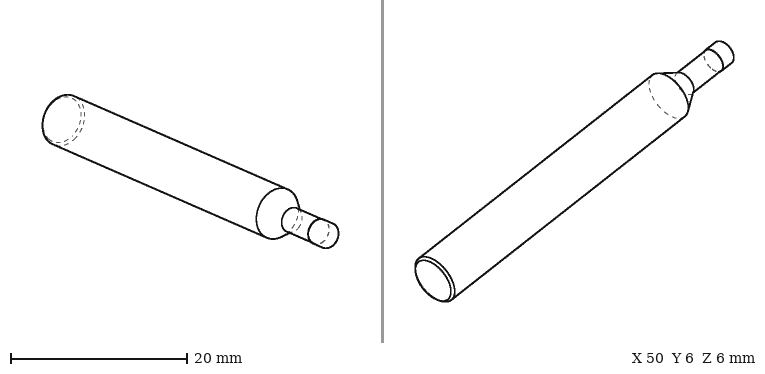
import cadquery as cq
import math

total_length = 50.0
shank_radius = 3.0
shank_chamfer = 0.3

tip_length = 2.0
tip_radius = 1.5
tip_corner_radius = 0.3

neck_length = 5.0
neck_radius = 1.45
cone_half_angle = 30.0

x_back = -total_length / 2
x_front = total_length / 2
x_tip = x_front - tip_length
x_neck = x_tip - neck_length
cone_length = (shank_radius - neck_radius) / math.tan(math.radians(cone_half_angle))
x_cone = x_neck - cone_length


def make_holder():
    """Chamfered shank, cone and neck turned as one solid."""
    return (
        cq.Workplane("XY")
        .moveTo(x_back, 0)
        .lineTo(x_back, shank_radius - shank_chamfer)
        .lineTo(x_back + shank_chamfer, shank_radius)
        .lineTo(x_cone, shank_radius)
        .lineTo(x_neck, neck_radius)
        .lineTo(x_tip, neck_radius)
        .lineTo(x_tip, 0)
        .close()
        .revolve(360, (0, 0, 0), (1, 0, 0))
    )


def make_tip():
    """Cylindrical tip on the neck's end face, with a rounded front edge."""
    return (
        cq.Workplane("YZ", origin=(x_tip, 0, 0))
        .circle(tip_radius)
        .extrude(tip_length)
        .faces(">X")
        .edges()
        .fillet(tip_corner_radius)
    )


holder = make_holder()
tip = make_tip()

result = cq.Compound.makeCompound([holder.val(), tip.val()])